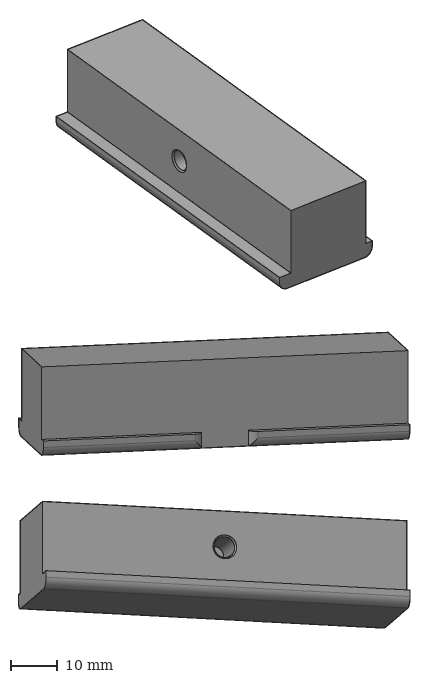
import cadquery as cq

length = 80.32
height = 19.36

block_width = 20.0
block_height = 15.85

front_ledge = 3.0
back_ledge = 1.7
flange_height = height - block_height
flange_radius = 2.1

notch_width = 10.3

hole_diameter = 4.5
hole_depth = 10.0
hole_chamfer = 0.35
hole_height = 11.5

block_front = -block_width / 2
block_back = block_width / 2
flange_back = block_back + back_ledge


def make_block():
    return (
        cq.Workplane("XY")
        .workplane(offset=flange_height)
        .rect(length, block_width)
        .extrude(block_height)
    )


def make_flange():
    """Full-length flange with both lower long edges rounded."""
    flange_width = front_ledge + block_width + back_ledge
    flange_centre = (back_ledge - front_ledge) / 2
    return (
        cq.Workplane("XY")
        .center(0, flange_centre)
        .rect(length, flange_width)
        .extrude(flange_height)
        .edges("|X and <Z")
        .fillet(flange_radius)
    )


def make_notch():
    """Gap in the back ledge that widens outward over two convex rounded corners."""
    half_width = notch_width / 2
    mouth_half_width = half_width + back_ledge
    return (
        cq.Workplane("XY")
        .moveTo(-half_width, block_back)
        .lineTo(half_width, block_back)
        .radiusArc((mouth_half_width, flange_back), back_ledge)
        .lineTo(-mouth_half_width, flange_back)
        .radiusArc((-half_width, block_back), back_ledge)
        .close()
        .extrude(flange_height)
    )


def make_hole():
    """Blind hole along +Y with a chamfered mouth on the block's front face."""
    radius = hole_diameter / 2
    mouth_radius = radius + hole_chamfer
    return (
        cq.Workplane("XY")
        .moveTo(0, block_front)
        .lineTo(mouth_radius, block_front)
        .lineTo(radius, block_front + hole_chamfer)
        .lineTo(radius, block_front + hole_depth)
        .lineTo(0, block_front + hole_depth)
        .close()
        .revolve(360, (0, 0, 0), (0, 1, 0))
        .translate((0, 0, hole_height))
    )


result = make_block().union(make_flange()).cut(make_notch()).cut(make_hole())